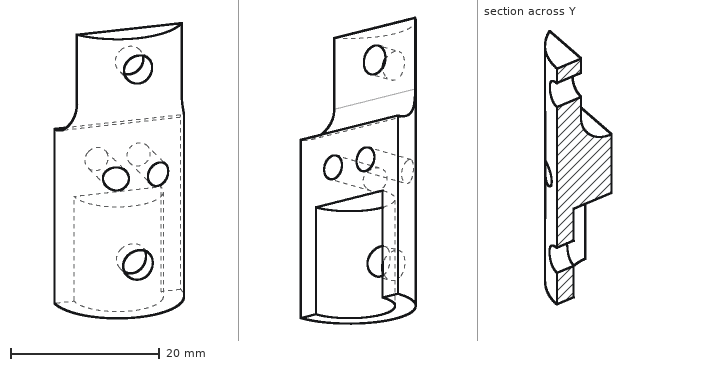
import cadquery as cq

bar_radius = 9.0
bar_length = 40.0

tongue_length = 10.0
relief_depth = 5.0
relief_height = 5.0

channel_radius = 6.2
channel_length = 15.0

tongue_hole_diameter = 4.0
tongue_hole_z = 35.5
pair_hole_diameter = 3.3
pair_hole_spacing = 6.0
pair_hole_z = 20.0
channel_hole_diameter = 4.2
channel_hole_z = 7.5


def half_round_bar():
    return (
        cq.Workplane("XY")
        .moveTo(0, -bar_radius)
        .threePointArc((bar_radius, 0), (0, bar_radius))
        .close()
        .extrude(bar_length)
    )


def tongue_relief():
    """Material removed in front of the tongue, ending in a concave sweep down to the flat face."""
    tongue_base_z = bar_length - tongue_length
    shoulder_z = tongue_base_z - relief_height
    return (
        cq.Workplane("XZ")
        .moveTo(0, bar_length)
        .lineTo(relief_depth, bar_length)
        .lineTo(relief_depth, tongue_base_z)
        .radiusArc((0, shoulder_z), relief_height)
        .close()
        .extrude(bar_radius, both=True)
    )


def channel():
    return cq.Workplane("XY").circle(channel_radius).extrude(channel_length)


def cross_hole(y, z, diameter):
    """Cylinder along X passing through the whole bar."""
    return cq.Workplane("YZ").center(y, z).circle(diameter / 2).extrude(bar_radius)


result = half_round_bar().cut(tongue_relief()).cut(channel())
result = result.cut(cross_hole(0, tongue_hole_z, tongue_hole_diameter))
result = result.cut(cross_hole(0, channel_hole_z, channel_hole_diameter))
for side in (-1, 1):
    result = result.cut(cross_hole(side * pair_hole_spacing / 2, pair_hole_z, pair_hole_diameter))